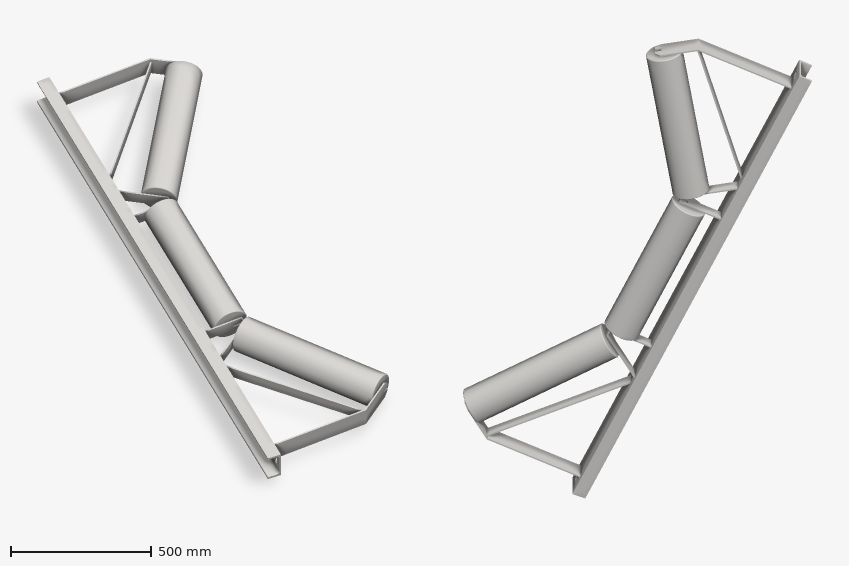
import cadquery as cq
import math

CHANNEL_LENGTH = 1900.0
CHANNEL_HEIGHT = 120.0
CHANNEL_DEPTH = 50.0
WEB_THICKNESS = 5.0
FLANGE_THICKNESS = 10.0
CHANNEL_FILLET = 11.0
TOE_RADIUS = 4.0
END_SLANT = 4.0
SLOT_WIDTH = 19.0
SLOT_HEIGHT = 36.0
SLOT_INSET = 30.0

ROLLER_DIAMETER = 133.0
ROLLER_LENGTH = 568.0
ROLLER_ROUNDING = 4.0
SHAFT_SIZE = 17.0
CENTER_ROLLER_Y = 171.0
CENTER_ROLLER_Z = -20.0
TROUGH_ANGLE = 35.0
TILT_ANGLE = 2.0
WING_X = 572.0
WING_Y = 352.0
WING_Z = -11.0

PLATE_THICKNESS = 5.0
OUTER_WIDTH = 80.0
OUTER_Z = -2.0
INNER_WIDTH = 50.0
INNER_GAP = 4.0
OUTER_GAP = 5.0
POST_X = 884.0
TIP_Y = 547.0
TIP_CHAMFER = 19.0
INNER_TOP_Y = 215.0

BRACE_WIDTH = 50.0
BRACE_FOOT_X = 470.0

PICK_SLACK = 2.0
CUTTER_WIDTH = 3 * PLATE_THICKNESS

COS_TROUGH = math.cos(math.radians(TROUGH_ANGLE))
SIN_TROUGH = math.sin(math.radians(TROUGH_ANGLE))
TAN_TROUGH = SIN_TROUGH / COS_TROUGH
HALF_PLATE = PLATE_THICKNESS / 2
INNER_SHAFT = INNER_GAP + PLATE_THICKNESS
OUTER_SHAFT = OUTER_GAP + PLATE_THICKNESS


def wing_plane_x(reach, y):
    """X at height y of the plane square to the left wing axis, `reach` outward of the roller middle."""
    foot_x = -WING_X - reach * COS_TROUGH
    foot_y = WING_Y + reach * SIN_TROUGH
    return foot_x + (y - foot_y) * TAN_TROUGH


def place_left_wing(shape):
    """Move a shape from the roller frame (axis on X, outer end at -X) to the left wing."""
    tilted = shape.rotate((0, 0, 0), (0, 1, 0), TILT_ANGLE)
    swung = tilted.rotate((0, 0, 0), (0, 0, 1), -TROUGH_ANGLE)
    return swung.translate((-WING_X, WING_Y, WING_Z))


def place_center(shape):
    """Move a shape from the roller frame to the middle of the trough."""
    return shape.translate((0, CENTER_ROLLER_Y, CENTER_ROLLER_Z))


def mirrored(shape):
    """The +X partner of a body on the -X side."""
    return shape.mirror("YZ")


def roller(left_shaft, right_shaft):
    """Roller with a square shaft end of the given reach at each end, in the roller frame."""
    shell = (
        cq.Workplane("YZ", origin=(-ROLLER_LENGTH / 2, 0, 0))
        .circle(ROLLER_DIAMETER / 2)
        .extrude(ROLLER_LENGTH)
        .faces("<X or >X")
        .edges()
        .fillet(ROLLER_ROUNDING)
    )
    shaft = (
        cq.Workplane("YZ", origin=(-ROLLER_LENGTH / 2 - left_shaft, 0, 0))
        .rect(SHAFT_SIZE, SHAFT_SIZE)
        .extrude(left_shaft + ROLLER_LENGTH + right_shaft)
    )
    return shell.union(shaft)


def shaft_slot(middle_x):
    """Cutter for an open-topped slot in a plate at middle_x of the roller frame."""
    return cq.Workplane("XY").box(
        CUTTER_WIDTH, ROLLER_DIAMETER, SHAFT_SIZE, centered=(True, False, True)
    ).translate((middle_x, -SHAFT_SIZE / 2, 0))


def channel():
    """U-channel with its web on +Y, rounded roots and toes, a slanted +X end and two slots."""
    half_height = CHANNEL_HEIGHT / 2
    inside = half_height - FLANGE_THICKNESS
    web_front = CHANNEL_DEPTH - WEB_THICKNESS
    half_length = CHANNEL_LENGTH / 2
    body = (
        cq.Workplane("YZ", origin=(-half_length, 0, 0))
        .polyline([
            (CHANNEL_DEPTH, -half_height),
            (0, -half_height),
            (0, -inside),
            (web_front, -inside),
            (web_front, inside),
            (0, inside),
            (0, half_height),
            (CHANNEL_DEPTH, half_height),
        ])
        .close()
        .extrude(CHANNEL_LENGTH)
    )
    roots = cq.selectors.BoxSelector(
        (-half_length, web_front - PICK_SLACK, -inside - PICK_SLACK),
        (half_length, web_front + PICK_SLACK, inside + PICK_SLACK),
    )
    toes = cq.selectors.BoxSelector(
        (-half_length, -PICK_SLACK, -inside - PICK_SLACK),
        (half_length, PICK_SLACK, inside + PICK_SLACK),
    )
    body = body.edges("|X").edges(roots).fillet(CHANNEL_FILLET)
    body = body.edges("|X").edges(toes).fillet(TOE_RADIUS)
    slant = (
        cq.Workplane("XY", origin=(0, 0, -half_height))
        .polyline([(half_length, 0), (half_length, CHANNEL_DEPTH), (half_length - END_SLANT, 0)])
        .close()
        .extrude(CHANNEL_HEIGHT)
    )
    slots = (
        cq.Workplane("XZ", origin=(0, CHANNEL_DEPTH, 0))
        .pushPoints([(SLOT_INSET - half_length, 0), (half_length - SLOT_INSET, 0)])
        .slot2D(SLOT_HEIGHT, SLOT_WIDTH, 90)
        .extrude(CHANNEL_DEPTH)
    )
    return body.cut(slant).cut(slots)


def plate(outline, width, middle_z):
    """Plate of the given outline in X and Y and width in Z, centred on middle_z."""
    return (
        cq.Workplane("XY", origin=(0, 0, middle_z - width / 2))
        .polyline(outline)
        .close()
        .extrude(width)
    )


def post_top(plane_reach, face_x):
    """Point where the sloped plane at plane_reach crosses the upright face at face_x."""
    crossing_y = TIP_Y - (wing_plane_x(plane_reach, TIP_Y) - face_x) / TAN_TROUGH
    return (face_x, crossing_y)


OUTER_NEAR = ROLLER_LENGTH / 2 + OUTER_GAP
OUTER_FAR = OUTER_NEAR + PLATE_THICKNESS
INSIDE_BEND = post_top(OUTER_NEAR, HALF_PLATE - POST_X)
OUTSIDE_BEND = post_top(OUTER_FAR, -HALF_PLATE - POST_X)


def outer_bracket():
    """Left outer bracket: a post on the channel and an arm bent square to the wing roller."""
    arm_root = (
        INSIDE_BEND[0] - PLATE_THICKNESS * COS_TROUGH,
        INSIDE_BEND[1] + PLATE_THICKNESS * SIN_TROUGH,
    )
    post = plate(
        [
            (-HALF_PLATE - POST_X, CHANNEL_DEPTH),
            OUTSIDE_BEND,
            arm_root,
            INSIDE_BEND,
            (HALF_PLATE - POST_X, CHANNEL_DEPTH),
        ],
        OUTER_WIDTH,
        OUTER_Z,
    )
    arm_length = (TIP_Y - arm_root[1]) / COS_TROUGH
    arm_plane = cq.Plane(
        origin=(*INSIDE_BEND, OUTER_Z),
        xDir=(SIN_TROUGH, COS_TROUGH, 0),
        normal=(-COS_TROUGH, SIN_TROUGH, 0),
    )
    arm = (
        cq.Workplane(arm_plane)
        .rect(arm_length, OUTER_WIDTH, centered=(False, True))
        .extrude(PLATE_THICKNESS)
        .edges(cq.selectors.ParallelDirSelector(arm_plane.zDir))
        .edges(">Y")
        .chamfer(TIP_CHAMFER)
    )
    slot = place_left_wing(shaft_slot(-OUTER_NEAR - HALF_PLATE))
    return post.union(arm).cut(slot)


def inner_bracket():
    """Left inner bracket: an upright leg, a short flat top and a leg square to the wing roller."""
    near_reach = -ROLLER_LENGTH / 2 - INNER_GAP
    far_reach = near_reach - PLATE_THICKNESS
    under_top = INNER_TOP_Y - PLATE_THICKNESS
    body = plate(
        [
            (wing_plane_x(near_reach, CHANNEL_DEPTH), CHANNEL_DEPTH),
            (wing_plane_x(near_reach, INNER_TOP_Y), INNER_TOP_Y),
            (near_reach, INNER_TOP_Y),
            (near_reach, CHANNEL_DEPTH),
            (far_reach, CHANNEL_DEPTH),
            (far_reach, under_top),
            (wing_plane_x(far_reach, under_top), under_top),
            (wing_plane_x(far_reach, CHANNEL_DEPTH), CHANNEL_DEPTH),
        ],
        INNER_WIDTH,
        CENTER_ROLLER_Z,
    )
    wing_slot = place_left_wing(shaft_slot(HALF_PLATE - near_reach))
    center_slot = place_center(shaft_slot(far_reach + HALF_PLATE))
    return body.cut(wing_slot).cut(center_slot)


def brace():
    """Left brace: a flat strip from the channel web up into the bend of the outer bracket."""
    run_x = -BRACE_FOOT_X - INSIDE_BEND[0]
    run_y = INSIDE_BEND[1] - CHANNEL_DEPTH
    slope = math.atan2(run_y, run_x)
    foot_width = PLATE_THICKNESS / math.sin(slope)
    arm_to_brace = slope + math.radians(90 - TROUGH_ANGLE)
    arm_contact = PLATE_THICKNESS / math.sin(arm_to_brace)
    return plate(
        [
            (-BRACE_FOOT_X, CHANNEL_DEPTH),
            INSIDE_BEND,
            (INSIDE_BEND[0] + arm_contact * SIN_TROUGH, INSIDE_BEND[1] + arm_contact * COS_TROUGH),
            (foot_width - BRACE_FOOT_X, CHANNEL_DEPTH),
        ],
        BRACE_WIDTH,
        OUTER_Z,
    )


base = channel()
center_roller = place_center(roller(INNER_SHAFT, INNER_SHAFT))
left_wing = place_left_wing(roller(OUTER_SHAFT, INNER_SHAFT))
left_bodies = [left_wing, outer_bracket(), inner_bracket(), brace()]

bodies = [base, center_roller]
for left_body in left_bodies:
    bodies.append(left_body)
    bodies.append(mirrored(left_body))

result = cq.Compound.makeCompound([body.solids().val() for body in bodies])